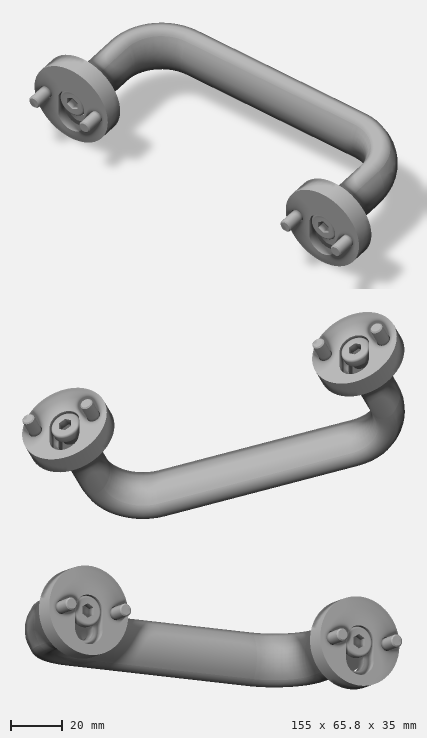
import cadquery as cq
import math

total_length = 155.0
flange_diameter = 35.0
leg_spacing = total_length - flange_diameter
flange_thickness = 8.0
handle_height = 49.9

bar_thickness = 13.0
bar_width = 21.0
oval_end_radius = 4.6
bend_radius = 20.0

pin_diameter = 5.0
pin_length = 7.9
pin_spacing = 24.0
pin_chamfer = 0.5
pin_hole_diameter = 5.5
pin_hole_depth = 4.0

slot_width = 12.2
slot_travel = 7.1
slot_depth = 4.0
through_slot_width = 8.0

head_diameter = 12.0
head_recess = 0.6
head_edge_radius = 1.0
shank_diameter = through_slot_width
socket_across_flats = 5.0
socket_depth = 3.4

pin_offsets = [(-pin_spacing / 2, 0), (pin_spacing / 2, 0)]
leg_positions = (-leg_spacing / 2, leg_spacing / 2)


def facing_back(x, y):
    """Workplane at (x, y, 0) whose normal is +Y; local x is X and local y is -Z."""
    return cq.Workplane("XZ", origin=(x, y, 0)).transformed(rotate=(180, 0, 0))


def bar():
    """Oval section swept up one leg, across the grip and down the other leg."""
    half_thickness = bar_thickness / 2
    half_width = bar_width / 2
    end_centre = half_width - oval_end_radius
    side_radius = (half_thickness**2 + end_centre**2 - oval_end_radius**2) / (
        2 * (half_thickness - oval_end_radius)
    )
    join_angle = math.atan2(end_centre, side_radius - half_thickness)
    join_x = oval_end_radius * math.cos(join_angle)
    join_z = end_centre + oval_end_radius * math.sin(join_angle)

    section = (
        facing_back(leg_positions[0], flange_thickness)
        .moveTo(join_x, -join_z)
        .threePointArc((half_thickness, 0), (join_x, join_z))
        .threePointArc((0, half_width), (-join_x, join_z))
        .threePointArc((-half_thickness, 0), (-join_x, -join_z))
        .threePointArc((0, -half_width), (join_x, -join_z))
        .close()
    )

    leg_x = leg_spacing / 2
    grip_y = flange_thickness + handle_height - half_thickness
    bend_y = grip_y - bend_radius
    path = (
        cq.Workplane("XY")
        .moveTo(-leg_x, flange_thickness)
        .lineTo(-leg_x, bend_y)
        .tangentArcPoint((-leg_x + bend_radius, grip_y), relative=False)
        .lineTo(leg_x - bend_radius, grip_y)
        .tangentArcPoint((leg_x, bend_y), relative=False)
        .lineTo(leg_x, flange_thickness)
    )
    return section.sweep(path)


def slot(x, width, depth):
    """Vertical slot cutter from the flange face, upper end centred on the leg."""
    return (
        facing_back(x, 0)
        .center(0, slot_travel / 2)
        .slot2D(slot_travel + width, width, 90)
        .extrude(depth)
    )


def flange(x):
    """Round flange with a stepped slot and two pin holes."""
    disc = facing_back(x, 0).circle(flange_diameter / 2).extrude(flange_thickness)
    wide_slot = slot(x, slot_width, slot_depth)
    narrow_slot = slot(x, through_slot_width, flange_thickness)
    return disc.cut(wide_slot).cut(narrow_slot).cut(pin_holes(x))


def pin_holes(x):
    """Pair of blind clearance holes that surround the pins."""
    return (
        facing_back(x, 0)
        .pushPoints(pin_offsets)
        .circle(pin_hole_diameter / 2)
        .extrude(pin_hole_depth)
    )


def pins(x):
    """Pair of chamfered locating pins rising from the bottoms of their holes."""
    return (
        facing_back(x, -pin_length)
        .pushPoints(pin_offsets)
        .circle(pin_diameter / 2)
        .extrude(pin_length + pin_hole_depth)
        .faces("<Y")
        .chamfer(pin_chamfer)
    )


def screw(x):
    """Screw with a rounded head and a hexagon socket, its shank meeting the bar."""
    head = (
        facing_back(x, head_recess)
        .circle(head_diameter / 2)
        .extrude(slot_depth - head_recess)
        .faces("<Y")
        .edges()
        .fillet(head_edge_radius)
    )
    shank = (
        facing_back(x, slot_depth)
        .circle(shank_diameter / 2)
        .extrude(flange_thickness - slot_depth)
    )
    socket_across_corners = socket_across_flats / math.cos(math.pi / 6)
    socket = (
        facing_back(x, head_recess)
        .transformed(rotate=(0, 0, 90))
        .polygon(6, socket_across_corners)
        .extrude(socket_depth)
    )
    return head.union(shank).cut(socket)


result = bar()
for leg_position in leg_positions:
    result = result.union(flange(leg_position))
    result = result.union(pins(leg_position))
    result = result.union(screw(leg_position))